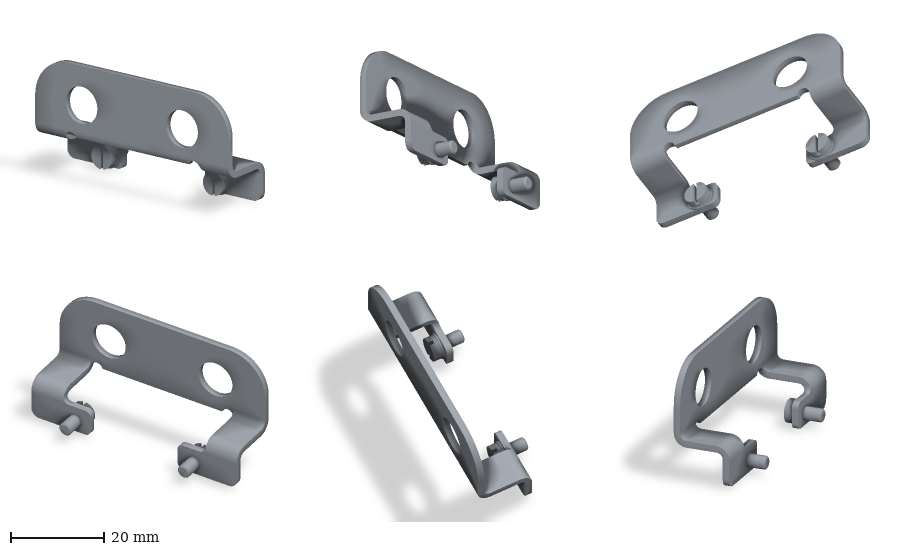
import cadquery as cq

width = 52.0
thickness = 1.5
depth = 13.0
plate_top = 26.15
shelf_bottom = 7.9
shelf_top = shelf_bottom + thickness
bend_inner = 1.5
bend_outer = bend_inner + thickness
bend_start_z = shelf_top + bend_inner
flange_front = depth - thickness
plate_corner = 9.0
flange_corner = 2.0

hole_diameter = 8.5
hole_x = 13.5
hole_z = plate_top - plate_corner

opening_half_width = 18.0
tongue_gap_half_width = 11.0
tongue_top = 6.25
tongue_corner = 1.4
plate_bottom = shelf_top
relief_radius = 1.45
relief_top = 10.5
relief_x = opening_half_width - relief_radius
relief_z = relief_top - relief_radius

screw_spacing = 30.0
screw_x = screw_spacing / 2
screw_z = 2.65
clearance_diameter = 3.2
washer_diameter = 6.0
washer_thickness = 0.4
washer_front = flange_front - washer_thickness
head_diameter = 5.4
head_height = 2.05
shank_diameter = 3.0
shank_length = 6.05
tip_chamfer = 0.3
slot_width = 0.8
slot_depth = 1.15


def disc(x, z, y, diameter, length):
    """Cylinder that starts at the given Y and runs toward +Y."""
    return cq.Workplane("XZ", origin=(x, y, z)).circle(diameter / 2).extrude(-length)


def block(x_min, x_max, y_min, y_max, z_min, z_max):
    """Box given by its limits on each axis."""
    size = (x_max - x_min, y_max - y_min, z_max - z_min)
    return cq.Workplane("XY").box(*size, centered=False).translate((x_min, y_min, z_min))


def bent_sheet():
    """Z-shaped sheet across the full width, with both bends rounded."""
    sheet = (
        cq.Workplane("YZ")
        .moveTo(0, plate_top)
        .lineTo(0, shelf_bottom)
        .lineTo(flange_front, shelf_bottom)
        .lineTo(flange_front, 0)
        .lineTo(depth, 0)
        .lineTo(depth, shelf_top)
        .lineTo(thickness, shelf_top)
        .lineTo(thickness, plate_top)
        .close()
        .extrude(width / 2, both=True)
    )
    outer_bends = [(0, shelf_bottom), (depth, shelf_top)]
    inner_bends = [(thickness, shelf_top), (flange_front, shelf_bottom)]
    for radius, bends in ((bend_outer, outer_bends), (bend_inner, inner_bends)):
        for y, z in bends:
            sheet = sheet.edges(cq.selectors.NearestToPointSelector((0, y, z))).fillet(radius)
    sheet = sheet.faces(">Z").edges("|Y").fillet(plate_corner)
    return sheet.faces("<Z").edges("|Y").fillet(flange_corner)


def leg_opening():
    """Cutter for the space between the legs, with round reliefs in the plate's lower bend."""
    wide = block(-opening_half_width, opening_half_width, 0, depth, tongue_top, plate_bottom)
    wide = wide.edges("|Y and <Z").fillet(tongue_corner)
    rear = block(-opening_half_width, opening_half_width, thickness, depth, plate_bottom, bend_start_z)
    cutter = wide.union(rear)
    for side in (-1, 1):
        cutter = cutter.union(disc(side * relief_x, relief_z, 0, 2 * relief_radius, depth))
    return cutter


def tongue_gap():
    """Cutter between the tongues."""
    return block(-tongue_gap_half_width, tongue_gap_half_width, 0, depth, 0, tongue_top)


def make_bracket():
    """Bent sheet with its opening, rounded tongues, mounting holes and screw holes."""
    bracket = bent_sheet().cut(leg_opening()).cut(tongue_gap())
    for side in (-1, 1):
        for z in (0, tongue_top):
            corner = (side * tongue_gap_half_width, depth - thickness / 2, z)
            bracket = bracket.edges(cq.selectors.NearestToPointSelector(corner)).fillet(tongue_corner)
        bracket = bracket.cut(disc(side * hole_x, hole_z, 0, hole_diameter, thickness))
        bracket = bracket.cut(disc(side * screw_x, screw_z, flange_front, clearance_diameter, thickness))
    return bracket


def make_washer(x):
    """Flat washer that rests on the front of the flange."""
    washer = disc(x, screw_z, washer_front, washer_diameter, washer_thickness)
    return washer.cut(disc(x, screw_z, washer_front, clearance_diameter, washer_thickness))


def make_screw(x):
    """Slotted cheese-head screw with a chamfered tip."""
    head_front = washer_front - head_height
    shank = disc(x, screw_z, washer_front, shank_diameter, shank_length).faces(">Y").chamfer(tip_chamfer)
    screw = disc(x, screw_z, head_front, head_diameter, head_height).union(shank)
    slot = block(
        x - slot_width / 2,
        x + slot_width / 2,
        head_front,
        head_front + slot_depth,
        screw_z - head_diameter / 2,
        screw_z + head_diameter / 2,
    )
    return screw.cut(slot)


bracket = make_bracket()
bodies = [bracket.val()]
for side in (-1, 1):
    bodies.append(make_washer(side * screw_x).val())
    bodies.append(make_screw(side * screw_x).val())

result = cq.Compound.makeCompound(bodies)